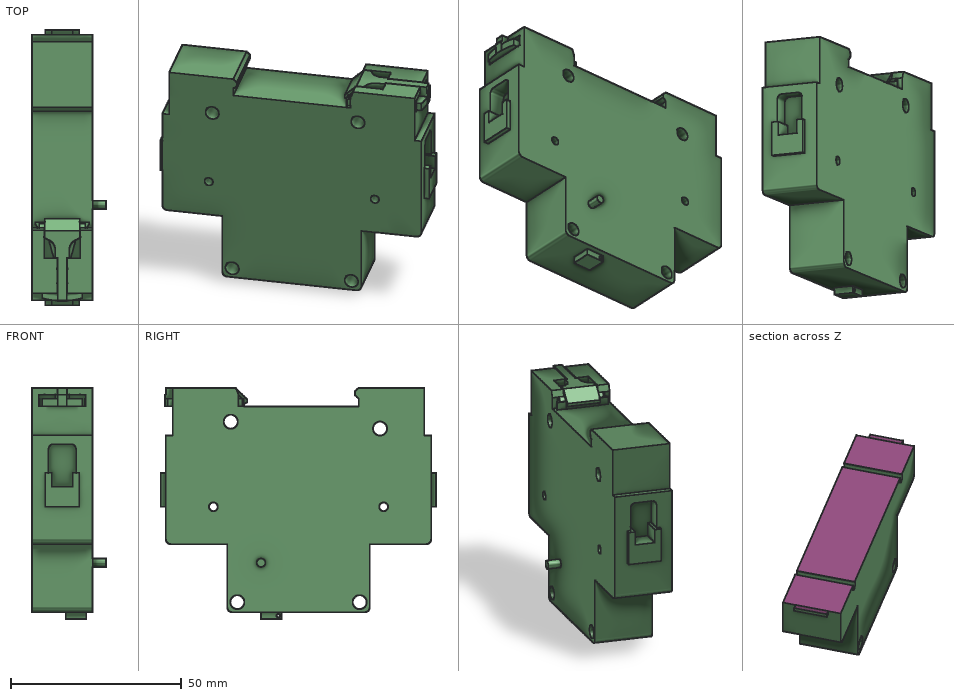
import cadquery as cq
import math


LENGTH = 81.0
WIDTH = 17.8
HEIGHT = 66.0
BODY_HALF = 39.05
BASE_HALF = 37.0
NOSE_HALF = 21.0
SHOULDER_Z = 20.0
BASE_STEP_Z = 52.0
CORNER_RADIUS = 1.5

RAIL_HALF = 17.65
RAIL_FLOOR_Z = 60.6
LIP_REACH = 1.05
LIP_TOP_DROP = 1.0
LIP_FLAT_DROP = 2.2
LIP_BOTTOM_DROP = 3.15
WALL_SLOPE_RUN = 0.7

BIG_HOLE_DIAMETER = 4.05
BIG_HOLES = [(24.0, 54.0), (-19.9, 56.05), (18.0, 3.0), (-18.0, 3.0)]
SMALL_HOLE_DIAMETER = 2.5
SMALL_HOLES = [(25.0, 31.0), (-25.0, 31.0)]

PEG_DIAMETER = 2.5
PEG_LENGTH = 4.0
PEG_Y = -11.0
PEG_Z = 14.6
TAB_SIZE = 6.1
TAB_HEIGHT = 2.0
TAB_X = 4.05
TAB_Y = -8.0
TAB_HOLE_DIAMETER = 1.0
TAB_HOLE_EDGE = 1.0

SHUTTER_WIDTH = 10.1
SHUTTER_HEIGHT = 10.0
SHUTTER_TOP_Z = 41.0
SHUTTER_NOTCH_WIDTH = 6.1
SHUTTER_NOTCH_DEPTH = 4.05
POCKET_WIDTH = 8.1
POCKET_TOP_Z = 49.5
POCKET_DEPTH = 5.0
POCKET_RADIUS = 1.5
POCKET_MARGIN = (SHUTTER_WIDTH - POCKET_WIDTH) / 2
POCKET_BOTTOM_Z = SHUTTER_TOP_Z - SHUTTER_HEIGHT + POCKET_MARGIN

CLIP_GAP = 0.1
CAVITY_TOP_Z = 64.0
LOW_TOP_Z = 62.85

HEAD_HALF = 5.1
HEAD_SLOPE_Y = -18.6
TIP_Y = -15.1
TIP_TOP_Z = 62.6
TIP_BOTTOM_Z = 61.7
HEAD_BACK_Y = -15.95
HEAD_BACK_Z = 61.3
NECK_HALF = 2.0
NECK_END_Y = -26.6
STEM_HALF = 1.3
STEM_END_Y = -39.0
HORN_RADIUS = 3.2
HORN_Y = -24.3

SHOULDER_HALF = 6.8
SHOULDER_RADIUS = 4.4
SHOULDER_REAR_Y = -16.6
BARB_HALF = 7.9
BARB_REAR_Y = -16.1
BARB_TIP_Y = -16.5
BARB_ROOT_HALF = 7.3
WEB_WIDE_HALF = 4.0
WEB_NARROW_HALF = 2.5
WEB_START_Y = -21.3
HANDLE_HALF = 5.8
HANDLE_REAR_Y = -34.0
HANDLE_SIDE_Y = -38.4
HANDLE_TIP_Y = -39.2
FOOT_END_Y = -39.3

HOLE_HALF = 5.35
HOLE_END_Y = -26.65
SLOT_HALF = 1.5
CAVITY_HALF = 6.9
MOUTH_HALF = BARB_ROOT_HALF + CLIP_GAP
MOUTH_DEPTH = 3.65


def block(half_width, y_start, y_end, z_low, z_high):
    """Box centred on X between two Y and two Z planes."""
    depth = abs(y_start - y_end)
    box = cq.Workplane("XY").box(2 * half_width, depth, z_high - z_low)
    return box.translate((0, (y_start + y_end) / 2, (z_low + z_high) / 2))


def across(outline, half_width):
    """Extrude a (y, z) outline symmetrically along X."""
    return cq.Workplane("YZ").polyline(outline).close().extrude(half_width, both=True)


def plan_prism(half_outline, z_low, z_high):
    """Extrude the polygon made of a half outline in (x, y) and its mirror image."""
    mirrored = [(-x, y) for x, y in reversed(half_outline)]
    plane = cq.Workplane("XY").workplane(offset=z_low)
    return plane.polyline(half_outline + mirrored).close().extrude(z_high - z_low)


def housing_shell():
    outline = [
        (-NOSE_HALF, 0),
        (NOSE_HALF, 0),
        (NOSE_HALF, SHOULDER_Z),
        (BODY_HALF, SHOULDER_Z),
        (BODY_HALF, BASE_STEP_Z),
        (BASE_HALF, BASE_STEP_Z),
        (BASE_HALF, HEIGHT),
        (RAIL_HALF, HEIGHT),
        (RAIL_HALF - LIP_REACH, HEIGHT - LIP_TOP_DROP),
        (RAIL_HALF - LIP_REACH, HEIGHT - LIP_FLAT_DROP),
        (RAIL_HALF, HEIGHT - LIP_BOTTOM_DROP),
        (RAIL_HALF, RAIL_FLOOR_Z),
        (-RAIL_HALF, RAIL_FLOOR_Z),
        (-RAIL_HALF, CAVITY_TOP_Z),
        (-RAIL_HALF - WALL_SLOPE_RUN, HEIGHT),
        (-BASE_HALF, HEIGHT),
        (-BASE_HALF, BASE_STEP_Z),
        (-BODY_HALF, BASE_STEP_Z),
        (-BODY_HALF, SHOULDER_Z),
        (-NOSE_HALF, SHOULDER_Z),
    ]
    shell = across(outline, WIDTH / 2)
    for half_length, z in [(NOSE_HALF, 0), (BODY_HALF, SHOULDER_Z)]:
        for y in (-half_length, half_length):
            corner = cq.selectors.NearestToPointSelector((0, y, z))
            shell = shell.edges(corner).fillet(CORNER_RADIUS)
    return shell


def cross_holes(centres, diameter):
    plane = cq.Workplane("YZ").pushPoints(centres)
    return plane.circle(diameter / 2).extrude(WIDTH, both=True)


def pocket(side):
    """Rounded blind pocket in the end face at side -1 (-Y) or +1 (+Y)."""
    height = POCKET_TOP_Z - POCKET_BOTTOM_Z
    solid = cq.Workplane("XY").box(POCKET_WIDTH, POCKET_DEPTH, height)
    solid = solid.edges("|Y").fillet(POCKET_RADIUS)
    y = side * (BODY_HALF - POCKET_DEPTH / 2)
    return solid.translate((0, y, (POCKET_TOP_Z + POCKET_BOTTOM_Z) / 2))


def clip_openings():
    cavity = block(CAVITY_HALF, -RAIL_HALF, -BASE_HALF, RAIL_FLOOR_Z, CAVITY_TOP_Z)
    mouth = block(MOUTH_HALF, -RAIL_HALF, -RAIL_HALF - MOUTH_DEPTH, RAIL_FLOOR_Z, CAVITY_TOP_Z)
    hole = block(HOLE_HALF, -RAIL_HALF, HOLE_END_Y, RAIL_FLOOR_Z, HEIGHT)
    slot = block(SLOT_HALF, -RAIL_HALF, -BASE_HALF, RAIL_FLOOR_Z, HEIGHT)
    return cavity.union(mouth).union(hole).union(slot)


def side_peg():
    plane = cq.Workplane("YZ").workplane(offset=WIDTH / 2)
    return plane.center(PEG_Y, PEG_Z).circle(PEG_DIAMETER / 2).extrude(PEG_LENGTH)


def make_housing():
    solid = housing_shell().cut(clip_openings())
    solid = solid.cut(cross_holes(BIG_HOLES, BIG_HOLE_DIAMETER))
    solid = solid.cut(cross_holes(SMALL_HOLES, SMALL_HOLE_DIAMETER))
    for side in (-1, 1):
        solid = solid.cut(pocket(side))
    return solid.union(side_peg())


def make_shutter(side):
    """Notched plate on the end face with a plug filling the lower part of its pocket."""
    half = SHUTTER_WIDTH / 2
    bottom_z = SHUTTER_TOP_Z - SHUTTER_HEIGHT
    notch_floor_z = SHUTTER_TOP_Z - SHUTTER_NOTCH_DEPTH
    outer_y = side * LENGTH / 2
    face_y = side * BODY_HALF
    inner_y = side * (BODY_HALF - POCKET_DEPTH)
    plate = block(half, outer_y, face_y, bottom_z, SHUTTER_TOP_Z)
    plug = pocket(side).intersect(block(half, face_y, inner_y, bottom_z, SHUTTER_TOP_Z))
    notch = block(SHUTTER_NOTCH_WIDTH / 2, outer_y, inner_y, notch_floor_z, SHUTTER_TOP_Z)
    return plate.union(plug).cut(notch)


def clip_plan(rear_y, z_low, z_high):
    """Anchor-shaped prism: wide shoulders swept by two tangent arcs into the neck and stem."""
    horn_x = NECK_HALF + HORN_RADIUS
    shoulder_x = SHOULDER_HALF - SHOULDER_RADIUS
    centre_gap = HORN_RADIUS + SHOULDER_RADIUS
    shoulder_y = HORN_Y + math.sqrt(centre_gap**2 - (horn_x - shoulder_x) ** 2)
    turn = math.atan2(shoulder_y - HORN_Y, horn_x - shoulder_x)

    def on_horn(angle):
        return (horn_x - HORN_RADIUS * math.cos(angle), HORN_Y + HORN_RADIUS * math.sin(angle))

    def on_shoulder(angle):
        return (
            shoulder_x + SHOULDER_RADIUS * math.cos(angle),
            shoulder_y - SHOULDER_RADIUS * math.sin(angle),
        )

    half = (
        cq.Workplane("XY")
        .workplane(offset=z_low)
        .moveTo(0, rear_y)
        .lineTo(SHOULDER_HALF, rear_y)
        .lineTo(*on_shoulder(0))
        .threePointArc(on_shoulder(turn / 2), on_shoulder(turn))
        .threePointArc(on_horn(turn / 2), on_horn(0))
        .lineTo(NECK_HALF, NECK_END_Y)
        .lineTo(STEM_HALF, NECK_END_Y)
        .lineTo(STEM_HALF, STEM_END_Y)
        .lineTo(0, STEM_END_Y)
        .close()
        .extrude(z_high - z_low)
    )
    return half.union(half.mirror("YZ"))


def clip_spine():
    """Full-height head with its sloped hook, neck and stem."""
    profile = [
        (HEAD_SLOPE_Y, HEIGHT),
        (TIP_Y, TIP_TOP_Z),
        (TIP_Y, TIP_BOTTOM_Z),
        (HEAD_BACK_Y, HEAD_BACK_Z),
        (HEAD_BACK_Y, RAIL_FLOOR_Z),
        (STEM_END_Y, RAIL_FLOOR_Z),
        (STEM_END_Y, HEIGHT),
    ]
    return clip_plan(TIP_Y, RAIL_FLOOR_Z, HEIGHT).intersect(across(profile, HEAD_HALF))


def clip_shoulders():
    """Wide shoulders inside the cavity with their upper rear edge sloped."""
    drop = CAVITY_TOP_Z - LOW_TOP_Z
    wedge = [
        (SHOULDER_REAR_Y, LOW_TOP_Z),
        (SHOULDER_REAR_Y, CAVITY_TOP_Z),
        (SHOULDER_REAR_Y - drop, CAVITY_TOP_Z),
    ]
    plan = clip_plan(SHOULDER_REAR_Y, RAIL_FLOOR_Z, CAVITY_TOP_Z)
    return plan.cut(across(wedge, SHOULDER_HALF))


def clip_barbs():
    outline = [
        (BARB_HALF, BARB_REAR_Y),
        (BARB_HALF, BARB_TIP_Y),
        (BARB_ROOT_HALF, -RAIL_HALF),
        (SHOULDER_HALF, -RAIL_HALF - WALL_SLOPE_RUN),
    ]
    return plan_prism(outline, RAIL_FLOOR_Z, LOW_TOP_Z)


def clip_web():
    """Low tapered web running from the shoulders into the stem."""
    taper = (WEB_WIDE_HALF - WEB_NARROW_HALF) / (WEB_START_Y - NECK_END_Y)
    web_end_y = WEB_START_Y - (WEB_WIDE_HALF - STEM_HALF) / taper
    outline = [(WEB_WIDE_HALF, WEB_START_Y), (STEM_HALF, web_end_y)]
    return plan_prism(outline, RAIL_FLOOR_Z, LOW_TOP_Z)


def clip_handle():
    """Low finger grip with a bowed front, and the stem foot that joins it."""
    grip = (
        cq.Workplane("XY")
        .workplane(offset=RAIL_FLOOR_Z)
        .moveTo(-HANDLE_HALF, HANDLE_SIDE_Y)
        .threePointArc((0, HANDLE_TIP_Y), (HANDLE_HALF, HANDLE_SIDE_Y))
        .lineTo(HANDLE_HALF, HANDLE_REAR_Y)
        .lineTo(-HANDLE_HALF, HANDLE_REAR_Y)
        .close()
        .extrude(LOW_TOP_Z - RAIL_FLOOR_Z)
    )
    foot = block(STEM_HALF, HANDLE_REAR_Y, FOOT_END_Y, RAIL_FLOOR_Z, CAVITY_TOP_Z)
    return grip.union(foot)


def make_clip():
    clip = clip_spine()
    for feature in (clip_shoulders(), clip_barbs(), clip_web(), clip_handle()):
        clip = clip.union(feature)
    return clip


def make_tab():
    """Square tab on the nose face, drilled along X near its rear edge."""
    tab = cq.Workplane("XY").box(TAB_SIZE, TAB_SIZE, TAB_HEIGHT)
    hole = cq.Workplane("YZ").center(TAB_SIZE / 2 - TAB_HOLE_EDGE, 0)
    tab = tab.cut(hole.circle(TAB_HOLE_DIAMETER / 2).extrude(TAB_SIZE, both=True))
    return tab.translate((TAB_X, TAB_Y, -TAB_HEIGHT / 2))


housing = make_housing()
shutters = [make_shutter(side) for side in (-1, 1)]
clip = make_clip()
tab = make_tab()

result = cq.Compound.makeCompound(
    [housing.val(), *[shutter.val() for shutter in shutters], clip.val(), tab.val()]
)